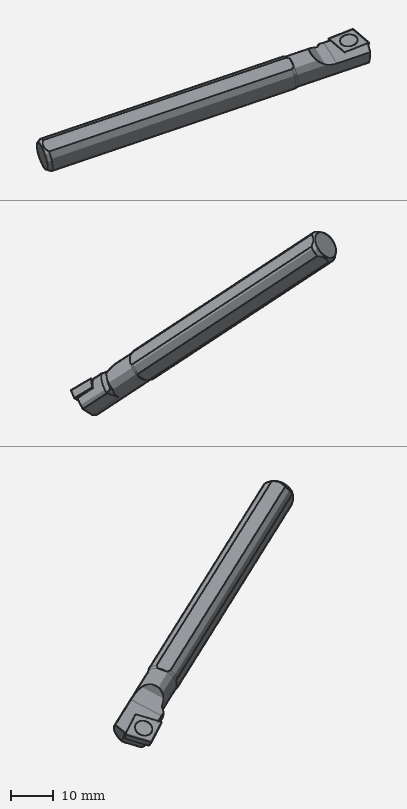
import cadquery as cq
import math

shank_radius = 4.0
shank_length = 62.3
flat_distance = 3.59
tail_chamfer_radial = 0.7
tail_chamfer_length = 1.0

neck_radius = 3.8
neck_start = 63.05
overall_length = 82.5

roll_angle = 12.5
face_height = 1.2
head_back = 71.05
head_back_chamfer = 0.9
side_wall_rise = 0.8
head_side_top = -4.5
head_side_middle = (-4.7, -1.0)
head_side_bottom = -3.8
scoop_start = 73.0
scoop_radius = 6.1

front_peak = (0.75, 82.1)
front_right_angle = 12.0
relief_angle = 9.0
margin = 9.9

insert_side = 6.4
insert_corner_angle = 100.0
lead_angle = 14.0
insert_tip_u = 0.4
insert_thickness = 2.2
land_width = 0.3
land_drop = 0.1

post_head_diameter = 4.1
post_diameter = 2.8
post_cone_depth = (post_head_diameter - post_diameter) / 2


def step(start, length, angle):
    """Point reached from start by going a length at an angle in degrees."""
    direction = math.radians(angle)
    return (start[0] + length * math.cos(direction), start[1] + length * math.sin(direction))


def rolled(shape):
    """Turn a shape from the head frame to its rolled position about the Y axis."""
    return shape.rotate((0, 0, 0), (0, 1, 0), -roll_angle)


def face_plane():
    return cq.Workplane("XY", origin=(0, 0, face_height))


def section_plane(y):
    """Plane across the bar with u to the right and w up; extrusion runs toward -Y."""
    return cq.Workplane("XZ", origin=(0, y, 0))


tip = (insert_tip_u, overall_length + land_drop * math.tan(math.radians(relief_angle)))
side_corner = step(tip, insert_side, 180 + lead_angle)
side_angle = lead_angle - insert_corner_angle
inner_corner = step(tip, insert_side, side_angle)
rear_corner = step(side_corner, insert_side, side_angle)
insert_center = ((side_corner[0] + inner_corner[0]) / 2, (side_corner[1] + inner_corner[1]) / 2)


def make_insert_blank():
    return (
        face_plane()
        .polyline([side_corner, tip, inner_corner, rear_corner])
        .close()
        .extrude(-insert_thickness, taper=relief_angle)
    )


def make_post():
    """Cone under the flush head, then a cylinder down to the pocket floor."""
    cone = (
        face_plane()
        .center(*insert_center)
        .circle(post_head_diameter / 2)
        .workplane(offset=-post_cone_depth)
        .circle(post_diameter / 2)
        .loft(combine=True)
    )
    stem = face_plane().center(*insert_center).circle(post_diameter / 2).extrude(-insert_thickness)
    return cone.union(stem)


def make_edge_land(start, end):
    """Wedge that bevels one cutting edge of the insert."""
    length = math.dist(start, end)
    along = cq.Vector(end[0] - start[0], end[1] - start[1], 0)
    outward = cq.Vector(-along.y, along.x, 0)
    plane = cq.Plane(origin=(start[0], start[1], face_height), xDir=outward, normal=along)
    return (
        cq.Workplane(plane)
        .polyline([(-land_width, 0), (land_width, 0), (land_width, -2 * land_drop)])
        .close()
        .extrude(length)
    )


def make_insert():
    insert = make_insert_blank().cut(make_post())
    for start, end in [(rear_corner, side_corner), (side_corner, tip)]:
        insert = insert.cut(make_edge_land(start, end))
    return rolled(insert)


def make_shank():
    tail_radius = shank_radius - tail_chamfer_radial
    body = (
        cq.Workplane("XY")
        .moveTo(0, 0)
        .lineTo(tail_radius, 0)
        .lineTo(shank_radius, tail_chamfer_length)
        .lineTo(shank_radius, shank_length)
        .lineTo(neck_radius, neck_start)
        .lineTo(0, neck_start)
        .close()
        .revolve(360, (0, 0, 0), (0, 1, 0))
    )
    flats = (
        section_plane(neck_start)
        .rect(2 * flat_distance + margin, 2 * flat_distance)
        .extrude(neck_start)
        .translate((margin / 2, 0, 0))
    )
    return body.intersect(flats)


def make_head():
    """Neck cylinder plus the side block, cut to the seat face, scoop and front relief."""
    neck = section_plane(overall_length).circle(neck_radius).extrude(overall_length - neck_start)
    block = (
        section_plane(overall_length)
        .moveTo(0, -neck_radius)
        .lineTo(head_side_bottom, -neck_radius)
        .threePointArc(head_side_middle, (head_side_top, face_height))
        .lineTo(head_side_top, face_height + side_wall_rise)
        .lineTo(0, face_height + side_wall_rise)
        .close()
        .extrude(overall_length - head_back)
        .faces("<Y")
        .edges("not (>X or >Z)")
        .chamfer(head_back_chamfer)
    )

    arc_middle = (scoop_start - scoop_radius * math.sin(math.pi / 4),
                  face_height + scoop_radius * (1 - math.cos(math.pi / 4)))
    scoop = (
        cq.Workplane("YZ")
        .moveTo(overall_length, face_height)
        .lineTo(scoop_start, face_height)
        .threePointArc(arc_middle, (scoop_start - scoop_radius, face_height + scoop_radius))
        .lineTo(overall_length, face_height + scoop_radius)
        .close()
        .extrude(margin, both=True)
    )

    left_end = step(front_peak, 2 * margin, 180 + lead_angle)
    right_end = step(front_peak, margin, -front_right_angle)
    relief = (
        cq.Workplane("XY", origin=(0, 0, face_height))
        .polyline([front_peak, right_end, (right_end[0], 0), (left_end[0], 0), left_end])
        .close()
        .extrude(-margin, taper=relief_angle)
    )
    behind = cq.Workplane("XY").box(4 * margin, scoop_start, 2 * margin, centered=(True, False, True))
    return rolled(neck.union(block).cut(scoop).intersect(relief.union(behind)))


def make_holder():
    pocket = make_insert_blank().cut(make_post())
    return make_shank().union(make_head()).cut(rolled(pocket))


holder = make_holder()
insert = make_insert()
result = cq.Compound.makeCompound([holder.val(), insert.val()])